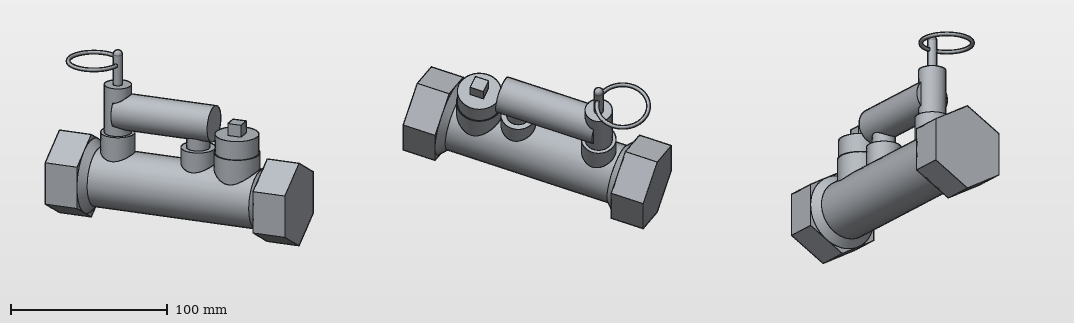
import cadquery as cq
import math

length = 165.1
nut_across_flats = 48.7
nut_length = 22.0
body_diameter = 38.6
cone_length = 5.0
cone_end_diameter = nut_across_flats

stem_x = -42.3
stem_collar_diameter = 22.1
stem_collar_top = 32.4
stem_diameter = 17.5
stem_top = 64.7
nut_point_radius = nut_across_flats / math.sqrt(3)
overall_height = 116.2
pin_diameter = 6.0
pin_top = overall_height - nut_point_radius
ring_radius = 16.5
ring_wire_diameter = 2.5
ring_z = 78.3

cylinder_diameter = 23.6
cylinder_end_x = 24.0
cylinder_z = 46.9

neck_x = 13.0
neck_collar_diameter = 22.1
neck_collar_top = 29.5
neck_diameter = 14.9

plug_x = 39.8
plug_base_diameter = 29.4
plug_base_top = neck_collar_top
plug_head_diameter = 28.0
plug_head_top = 42.1
square_side = 9.0
square_top = 50.2


def upright(x, diameter, top, bottom=0.0):
    """Vertical cylinder centred over the body axis."""
    return cq.Workplane("XY", origin=(x, 0, bottom)).circle(diameter / 2).extrude(top - bottom)


def make_body():
    """Solid of revolution: plain tube flaring out to meet both nuts."""
    half_length = length / 2
    nut_face_x = half_length - nut_length
    tube_end_x = nut_face_x - cone_length
    profile = [
        (-nut_face_x, 0),
        (-nut_face_x, cone_end_diameter / 2),
        (-tube_end_x, body_diameter / 2),
        (tube_end_x, body_diameter / 2),
        (nut_face_x, cone_end_diameter / 2),
        (nut_face_x, 0),
    ]
    body = cq.Workplane("XY").polyline(profile).close().revolve(360, (0, 0, 0), (1, 0, 0))
    for start_x in (-half_length, nut_face_x):
        nut = (
            cq.Workplane("YZ", origin=(start_x, 0, 0))
            .transformed(rotate=(0, 0, 90))
            .polygon(6, 2 * nut_point_radius)
            .extrude(nut_length)
        )
        body = body.union(nut)
    return body


def make_stem():
    """Collar, stem and round-ended pin."""
    pin_radius = pin_diameter / 2
    dome_z = pin_top - pin_radius
    dome = cq.Workplane("XY", origin=(stem_x, 0, dome_z)).sphere(pin_radius)
    return (
        upright(stem_x, stem_collar_diameter, stem_collar_top)
        .union(upright(stem_x, stem_diameter, stem_top))
        .union(upright(stem_x, pin_diameter, dome_z, stem_top))
        .union(dome)
    )


def make_ring():
    """Horizontal wire ring whose wire passes through the pin axis."""
    torus = cq.Solid.makeTorus(
        ring_radius, ring_wire_diameter / 2, cq.Vector(stem_x - ring_radius, 0, ring_z), cq.Vector(0, 0, 1)
    )
    return cq.Workplane(obj=torus)


def make_side_cylinder():
    return (
        cq.Workplane("YZ", origin=(stem_x, 0, cylinder_z))
        .circle(cylinder_diameter / 2)
        .extrude(cylinder_end_x - stem_x)
    )


def make_neck():
    collar = upright(neck_x, neck_collar_diameter, neck_collar_top)
    return collar.union(upright(neck_x, neck_diameter, cylinder_z))


def make_plug():
    drive = (
        cq.Workplane("XY", origin=(plug_x, 0, plug_head_top))
        .rect(square_side, square_side)
        .extrude(square_top - plug_head_top)
    )
    return (
        upright(plug_x, plug_base_diameter, plug_base_top)
        .union(upright(plug_x, plug_head_diameter, plug_head_top, plug_base_top))
        .union(drive)
    )


result = (
    make_body()
    .union(make_stem())
    .union(make_side_cylinder())
    .union(make_neck())
    .union(make_plug())
    .union(make_ring())
)